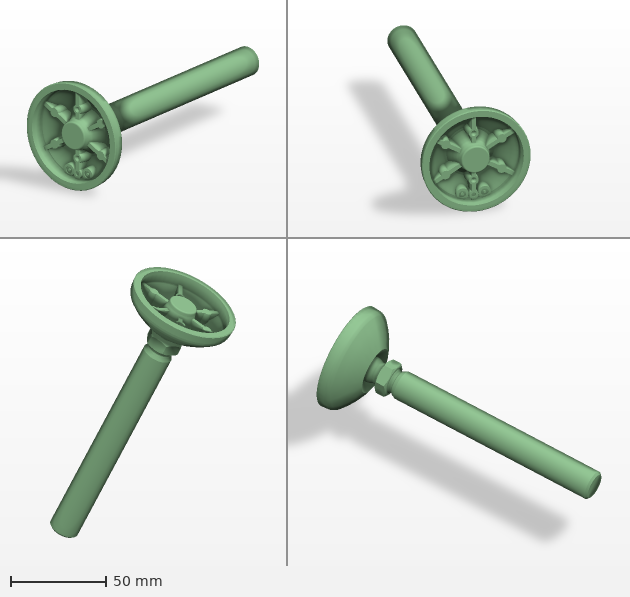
import cadquery as cq
import math

TOTAL_LENGTH = 154.6

FOOT_RADIUS = 29.5
SHOULDER_RADIUS = 29.2
SHOULDER_HEIGHT = 4.6
DOME_EDGE_RADIUS = 27.7
DOME_EDGE_HEIGHT = 7.9
DOME_MID_RADIUS = 21.0
DOME_MID_HEIGHT = 13.5
LIP_RADIUS = 13.0
FOOT_HEIGHT = 18.0
SOLE_EDGE_CHAMFER = 0.5

RIM_INNER_RADIUS = 25.7
RIM_WALL_RADIUS = 25.0
RIM_WALL_HEIGHT = 6.3
CAVITY_STEP_RADIUS = 24.3
CAVITY_STEP_HEIGHT = 7.1
CAVITY_MID_RADIUS = 19.8
CAVITY_MID_HEIGHT = 10.5
CAVITY_TOP_RADIUS = 14.2
CAVITY_TOP_HEIGHT = 13.3
BOSS_BASE_RADIUS = 12.8
BOSS_FLARE_RADIUS = 9.6
BOSS_FLARE_HEIGHT = 9.0
BOSS_NECK_RADIUS = 7.9
BOSS_NECK_HEIGHT = 3.7
BOSS_TIP_RADIUS = 7.7
BOSS_TIP_HEIGHT = 1.5
BOSS_TIP_ROUND = 0.8

RIB_FACE_HEIGHT = 5.5
RIB_DEPTH = 9.3
RIB_INNER_RADIUS = 6.2
RIB_OUTER_RADIUS = 26.3
RIB_WIDTH = 2.3
UPRIGHT_ANGLES = (90, 270)
UPRIGHT_DRAFT = 7.0
SLANTED_ANGLES = (30, 150, 210, 330)
SLANTED_DRAFT = 5.0

SLANTED_BOSS_PLACE = 17.6
SLANTED_BOSS_RADIUS = 2.5
UPRIGHT_BOSS_PLACE = 13.6
UPRIGHT_BOSS_RADIUS = 2.6
DIMPLE_RADIUS = 1.5
DIMPLE_FLOOR_RADIUS = 0.5
DIMPLE_DEPTH = 1.2

MARKER_HEIGHT = 6.2
MARKER_X = 6.0
MARKER_Z = -21.5
MARKER_RADIUS = 3.4
MARKER_DISH_RADIUS = 2.0
MARKER_PIN_RADIUS = 0.8
MARKER_DISH_DEPTH = 0.8
MIDDLE_MARKER_Z = -22.1
MIDDLE_MARKER_RADIUS = 2.5
MIDDLE_MARKER_HOLE_RADIUS = 1.2

ROD_RADIUS = 8.0
ROD_START = 34.6
ROD_END_CHAMFER = 1.2
RUNOUT_RADIUS = 7.0
RUNOUT_START = 32.5
GROOVE_RADIUS = 6.3
GROOVE_TOP = 31.8
GROOVE_BOTTOM = 30.6
HEX_TOP = 29.7
HEX_BOTTOM = 22.1
HEX_ACROSS_FLATS = 17.2
HEX_CHAMFER_ANGLE = 30.0
HEX_TOP_FACE_RADIUS = 8.2
HEX_BOTTOM_FACE_RADIUS = 6.8
NECK_RADIUS = 6.0
BALL_RADIUS = 7.3
BALL_HEIGHT = 15.6


def revolve_about_y(outline):
    return outline.close().revolve(360, (0, 0, 0), (0, 1, 0))


def level(height):
    """Work plane at the given Y, facing +Y, with local x along X and local y along -Z."""
    return cq.Workplane("XZ", origin=(0, height, 0)).transformed(rotate=(180, 0, 0))


def ring_place(radius, angle):
    """X and Z of a point on a circle about the axis, angle measured from +X towards +Z."""
    return radius * math.cos(math.radians(angle)), radius * math.sin(math.radians(angle))


def ball_point(angle):
    """Radius and height of a point on the ball, angle measured up from its equator."""
    x, rise = ring_place(BALL_RADIUS, angle)
    return x, BALL_HEIGHT + rise


def round_boss(x, z, height, radius, draft):
    return level(height).center(x, -z).circle(radius).extrude(RIB_DEPTH, taper=-draft)


def foot_envelope():
    """Foot without its cavity: rim, dome, and the seat sloping from the lip into the ball socket."""
    return revolve_about_y(
        cq.Workplane("XY")
        .lineTo(FOOT_RADIUS - SOLE_EDGE_CHAMFER, 0)
        .lineTo(FOOT_RADIUS, SOLE_EDGE_CHAMFER)
        .lineTo(SHOULDER_RADIUS, SHOULDER_HEIGHT)
        .tangentArcPoint((DOME_EDGE_RADIUS, DOME_EDGE_HEIGHT), relative=False)
        .threePointArc((DOME_MID_RADIUS, DOME_MID_HEIGHT), (LIP_RADIUS, FOOT_HEIGHT))
        .lineTo(BALL_RADIUS, BALL_HEIGHT)
        .threePointArc(ball_point(-45), (0, BALL_HEIGHT - BALL_RADIUS))
    )


def foot_cavity():
    return revolve_about_y(
        cq.Workplane("XY")
        .lineTo(RIM_INNER_RADIUS, 0)
        .lineTo(RIM_WALL_RADIUS, RIM_WALL_HEIGHT)
        .tangentArcPoint((CAVITY_STEP_RADIUS, CAVITY_STEP_HEIGHT), relative=False)
        .threePointArc((CAVITY_MID_RADIUS, CAVITY_MID_HEIGHT), (CAVITY_TOP_RADIUS, CAVITY_TOP_HEIGHT))
        .lineTo(BOSS_BASE_RADIUS, CAVITY_TOP_HEIGHT)
        .threePointArc((BOSS_FLARE_RADIUS, BOSS_FLARE_HEIGHT), (BOSS_NECK_RADIUS, BOSS_NECK_HEIGHT))
        .lineTo(BOSS_TIP_RADIUS, BOSS_TIP_HEIGHT + BOSS_TIP_ROUND)
        .tangentArcPoint((BOSS_TIP_RADIUS - BOSS_TIP_ROUND, BOSS_TIP_HEIGHT), relative=False)
        .lineTo(0, BOSS_TIP_HEIGHT)
    )


def rib(angle, draft):
    length = RIB_OUTER_RADIUS - RIB_INNER_RADIUS
    x, z = ring_place((RIB_INNER_RADIUS + RIB_OUTER_RADIUS) / 2, angle)
    return (
        level(RIB_FACE_HEIGHT)
        .center(x, -z)
        .transformed(rotate=(0, 0, -angle))
        .rect(length, RIB_WIDTH)
        .extrude(RIB_DEPTH, taper=-draft)
    )


def dimple(x, z):
    """Conical recess in the face of an upright rib's boss."""
    return (
        level(RIB_FACE_HEIGHT)
        .center(x, -z)
        .circle(DIMPLE_RADIUS)
        .workplane(offset=DIMPLE_DEPTH)
        .circle(DIMPLE_FLOOR_RADIUS)
        .loft()
    )


def marker_dish(x):
    """Ring-shaped recess that leaves a pin in the middle of a marker boss."""
    return (
        level(MARKER_HEIGHT)
        .center(x, -MARKER_Z)
        .circle(MARKER_DISH_RADIUS)
        .circle(MARKER_PIN_RADIUS)
        .extrude(MARKER_DISH_DEPTH)
    )


def middle_marker_hole():
    """Shallow round recess in the marker boss that sits on the lower upright rib."""
    return (
        level(RIB_FACE_HEIGHT)
        .center(0, -MIDDLE_MARKER_Z)
        .circle(MIDDLE_MARKER_HOLE_RADIUS)
        .extrude(MARKER_DISH_DEPTH)
    )


def make_foot():
    """Shell first, then ribs and bosses kept inside the outer shape, then the small recesses."""
    envelope = foot_envelope()
    foot = envelope.cut(foot_cavity())

    added = [rib(angle, SLANTED_DRAFT) for angle in SLANTED_ANGLES]
    added += [rib(angle, UPRIGHT_DRAFT) for angle in UPRIGHT_ANGLES]
    for angle in SLANTED_ANGLES:
        x, z = ring_place(SLANTED_BOSS_PLACE, angle)
        added.append(round_boss(x, z, RIB_FACE_HEIGHT, SLANTED_BOSS_RADIUS, SLANTED_DRAFT))
    upright_places = [ring_place(UPRIGHT_BOSS_PLACE, angle) for angle in UPRIGHT_ANGLES]
    for x, z in upright_places:
        added.append(round_boss(x, z, RIB_FACE_HEIGHT, UPRIGHT_BOSS_RADIUS, UPRIGHT_DRAFT))
    for x in (-MARKER_X, MARKER_X):
        added.append(round_boss(x, MARKER_Z, MARKER_HEIGHT, MARKER_RADIUS, SLANTED_DRAFT))
    added.append(round_boss(0, MIDDLE_MARKER_Z, RIB_FACE_HEIGHT, MIDDLE_MARKER_RADIUS, SLANTED_DRAFT))
    for piece in added:
        foot = foot.union(piece.intersect(envelope))

    for x, z in upright_places:
        foot = foot.cut(dimple(x, z))
    for x in (-MARKER_X, MARKER_X):
        foot = foot.cut(marker_dish(x))
    return foot.cut(middle_marker_hole())


def stem_hexagon():
    """Hexagon with corners towards +Z and -Z, its corners chamfered at both ends."""
    height = HEX_TOP - HEX_BOTTOM
    corner_radius = HEX_ACROSS_FLATS / math.sqrt(3)
    chamfer_slope = math.tan(math.radians(HEX_CHAMFER_ANGLE))
    bottom_chamfer = (corner_radius - HEX_BOTTOM_FACE_RADIUS) * chamfer_slope
    top_chamfer = (corner_radius - HEX_TOP_FACE_RADIUS) * chamfer_slope
    prism = (
        level(HEX_BOTTOM)
        .transformed(rotate=(0, 0, 90))
        .polygon(6, 2 * corner_radius)
        .extrude(height)
    )
    chamfered_round = revolve_about_y(
        cq.Workplane("XY")
        .moveTo(0, HEX_BOTTOM)
        .lineTo(HEX_BOTTOM_FACE_RADIUS, HEX_BOTTOM)
        .lineTo(corner_radius, HEX_BOTTOM + bottom_chamfer)
        .lineTo(corner_radius, HEX_TOP - top_chamfer)
        .lineTo(HEX_TOP_FACE_RADIUS, HEX_TOP)
        .lineTo(0, HEX_TOP)
    )
    return prism.intersect(chamfered_round)


def make_stem():
    """Rod, thread runout, groove, neck and ball in one turned shape, with the hexagon added."""
    neck_angle = math.degrees(math.acos(NECK_RADIUS / BALL_RADIUS))
    turned = revolve_about_y(
        cq.Workplane("XY")
        .moveTo(0, BALL_HEIGHT - BALL_RADIUS)
        .threePointArc((BALL_RADIUS, BALL_HEIGHT), ball_point(neck_angle))
        .lineTo(NECK_RADIUS, HEX_BOTTOM)
        .lineTo(RUNOUT_RADIUS, HEX_TOP)
        .lineTo(GROOVE_RADIUS, GROOVE_BOTTOM)
        .lineTo(GROOVE_RADIUS, GROOVE_TOP)
        .lineTo(RUNOUT_RADIUS, RUNOUT_START)
        .lineTo(ROD_RADIUS, ROD_START)
        .lineTo(ROD_RADIUS, TOTAL_LENGTH - ROD_END_CHAMFER)
        .lineTo(ROD_RADIUS - ROD_END_CHAMFER, TOTAL_LENGTH)
        .lineTo(0, TOTAL_LENGTH)
    )
    return turned.union(stem_hexagon())


foot = make_foot()
stem = make_stem()
result = cq.Compound.makeCompound([*foot.solids().vals(), *stem.solids().vals()])